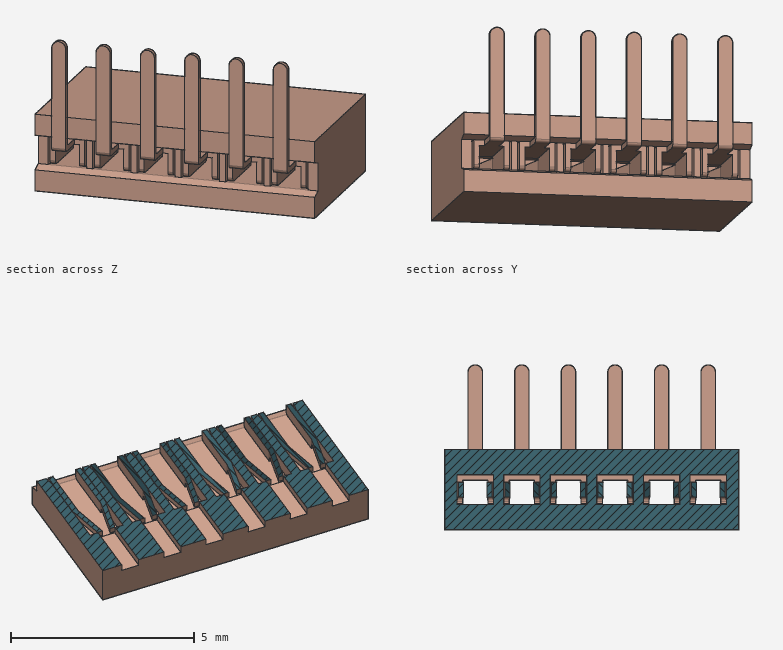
import cadquery as cq
import math

housing_width = 8.02
housing_depth = 4.5
housing_height = 2.2
mid_height = housing_height / 2

groove_depth = 0.3
groove_mouth_height = 0.99
groove_floor_height = 0.8

contact_count = 6
contact_row_length = 6.35
contact_pitch = contact_row_length / (contact_count - 1)
contact_places = [-contact_row_length / 2 + i * contact_pitch for i in range(contact_count)]

sheet = 0.15
channel_width = 0.99
floor_gap = 0.02
channel_length = 1.6
channel_height = groove_floor_height - floor_gap
channel_top = mid_height + groove_floor_height / 2
channel_bottom = channel_top - channel_height
channel_front = groove_depth
channel_back = channel_front + channel_length
leg_corner_radius = 0.105

arm_height = 0.41
arm_root_radius = 0.12
arm_angle = 12.0
arm_tip_gap = 0.225
arm_shift = channel_width / 2 - sheet - arm_tip_gap / 2
arm_length = arm_shift / math.tan(math.radians(arm_angle))
contact_back = channel_back + arm_length

pin_width = 0.4
pin_front = -0.47
pin_top = 4.5
pin_bend_radius = 0.09

pocket_mouth_width = 1.1
flare_length = 0.34
mating_hole_width = 0.505
mating_hole_height = 0.5


def make_groove():
    """Trapezoidal bar that is cut from the front face, narrower at its floor."""
    half_mouth = groove_mouth_height / 2
    half_floor = groove_floor_height / 2
    return (
        cq.Workplane("YZ", origin=(-housing_width / 2, 0, mid_height))
        .moveTo(0, -half_mouth)
        .lineTo(groove_depth, -half_floor)
        .lineTo(groove_depth, half_floor)
        .lineTo(0, half_mouth)
        .close()
        .extrude(housing_width)
    )


def make_pocket(x):
    """Contact pocket with a flared mouth, and a mating hole through to the rear face."""
    half_mouth = pocket_mouth_width / 2
    half_width = channel_width / 2
    flare_end = groove_depth + flare_length
    pocket = (
        cq.Workplane("XY", origin=(x, 0, mid_height - groove_floor_height / 2))
        .moveTo(-half_mouth, groove_depth)
        .lineTo(half_mouth, groove_depth)
        .lineTo(half_width, flare_end)
        .lineTo(half_width, contact_back)
        .lineTo(-half_width, contact_back)
        .lineTo(-half_width, flare_end)
        .close()
        .extrude(groove_floor_height)
    )
    mating_hole = (
        cq.Workplane("XZ", origin=(x, housing_depth, mid_height))
        .rect(mating_hole_width, mating_hole_height)
        .extrude(housing_depth - groove_depth)
    )
    return pocket.union(mating_hole)


def make_housing():
    housing = cq.Workplane("XY").box(
        housing_width, housing_depth, housing_height, centered=(True, False, False)
    )
    housing = housing.cut(make_groove())
    for x in contact_places:
        housing = housing.cut(make_pocket(x))
    return housing


def make_channel():
    """Top plate with two legs, whose lower front corners are rounded."""
    outside = cq.Workplane("XY", origin=(0, channel_front, channel_bottom)).box(
        channel_width, channel_length, channel_height, centered=(True, False, False)
    )
    outside = outside.faces("<Y").edges("<Z").fillet(leg_corner_radius)
    inside = cq.Workplane("XY", origin=(0, channel_front, channel_bottom)).box(
        channel_width - 2 * sheet, channel_length, channel_height - sheet, centered=(True, False, False)
    )
    return outside.cut(inside)


def make_left_arm():
    """Spring arm that leans inward from the rear end of the left leg."""
    outer_x = -channel_width / 2
    inner_x = outer_x + sheet
    return (
        cq.Workplane("XY", origin=(0, 0, mid_height - arm_height / 2))
        .moveTo(outer_x, channel_back)
        .lineTo(inner_x, channel_back)
        .lineTo(inner_x + arm_shift, contact_back)
        .lineTo(outer_x + arm_shift, contact_back)
        .close()
        .extrude(arm_height)
    )


def make_pin():
    """Pin that runs forward from the top plate, bends upward and ends in a full round."""
    pin_back = pin_front + sheet
    underside = channel_top - sheet
    strip = (
        cq.Workplane("YZ", origin=(-pin_width / 2, 0, 0))
        .moveTo(channel_front, underside)
        .lineTo(pin_front, underside)
        .lineTo(pin_front, pin_top)
        .lineTo(pin_back, pin_top)
        .lineTo(pin_back, channel_top)
        .lineTo(channel_front, channel_top)
        .close()
        .extrude(pin_width)
    )
    outer_bend = cq.selectors.NearestToPointSelector((0, pin_front, underside))
    inner_bend = cq.selectors.NearestToPointSelector((0, pin_back, channel_top))
    strip = strip.edges("|X").edges(outer_bend).fillet(pin_bend_radius)
    strip = strip.edges("|X").edges(inner_bend).fillet(pin_bend_radius)
    tip_radius = pin_width / 2
    tip_start = pin_top - tip_radius
    outline = (
        cq.Workplane("XZ", origin=(0, channel_front, 0))
        .moveTo(-tip_radius, 0)
        .lineTo(tip_radius, 0)
        .lineTo(tip_radius, tip_start)
        .threePointArc((0, pin_top), (-tip_radius, tip_start))
        .close()
        .extrude(channel_front - pin_front)
    )
    return strip.intersect(outline)


def make_contact():
    left_arm = make_left_arm()
    right_arm = left_arm.mirror("YZ")
    spring = make_channel().union(left_arm).union(right_arm)
    arm_bottom = mid_height - arm_height / 2
    for side in (-1, 1):
        root_point = (side * (channel_width - sheet) / 2, channel_back, arm_bottom)
        arm_root = cq.selectors.NearestToPointSelector(root_point)
        spring = spring.edges("|X").edges(arm_root).fillet(arm_root_radius)
    return spring.union(make_pin())


housing = make_housing()
contact = make_contact()
contacts = [contact.translate((x, 0, 0)) for x in contact_places]

result = cq.Compound.makeCompound([housing.val(), *[placed.val() for placed in contacts]])